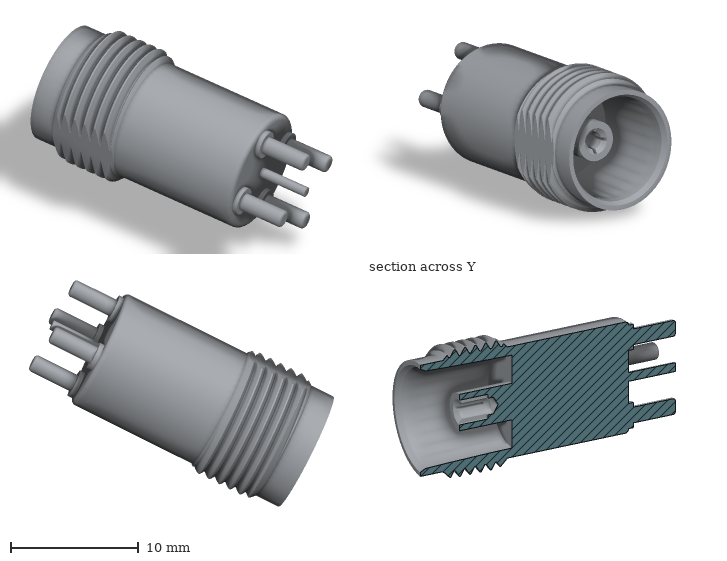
import cadquery as cq
import math


shell_radius = 4.83
shell_end = 18.27
shell_end_fillet = 0.4

thread_start = 1.98
thread_end = 7.63
thread_radius = 5.55
thread_root_radius = 4.97
inch = 25.4
threads_per_inch = 28
thread_pitch = inch / threads_per_inch
thread_half_angle = math.radians(30)
thread_root_flat = 0.12
thread_overshoot = 0.05
groove_position_below_axis = 3.01
groove_run_in_turns = 2
blank_margin = 2
flat_distance = 4.9

bore_mouth_radius = 4.45
bore_front_radius = 4.2
bore_floor_radius = 4.0
bore_chamfer_length = 0.47
bore_depth = 8.0

insulator_radius = 1.6
insulator_face = 3.4
contact_mouth_radius = 1.05
contact_hole_radius = 0.7
contact_lead_in = contact_mouth_radius - contact_hole_radius
contact_hole_depth = 3.0
contact_hole_tip = 0.4
contact_slot_width = 0.28
contact_slot_depth = 2.5

pin_offset = 3.38
pin_radius = 0.7
pin_end = 22.35
pin_end_fillet = 0.25
collar_radius = 1.11
collar_length = 0.4
collar_embed = 0.5
centre_pin_radius = 0.4


def cylinder(radius, start, end, y=0.0, z=0.0):
    """Cylinder along +X between two stations."""
    plane = cq.Workplane("YZ", origin=(start, y, z))
    return plane.circle(radius).extrude(end - start)


def revolved(points):
    """Solid of revolution about the X axis from (x, radius) points."""
    return cq.Workplane("XY").polyline(points).close().revolve(360, (0, 0, 0), (1, 0, 0))


def thread_groove():
    """Right-hand helical V groove that runs out past both ends of the thread."""
    start = groove_position_below_axis - groove_run_in_turns * thread_pitch
    length = thread_end + thread_pitch / 2 - start
    outer_radius = thread_radius + thread_overshoot
    flank_rise = outer_radius - thread_root_radius
    root_half = thread_root_flat / 2
    mouth_half = root_half + flank_rise * math.tan(thread_half_angle)
    helix = cq.Wire.makeHelix(thread_pitch, length, thread_root_radius)
    profile = (
        cq.Workplane("XZ")
        .moveTo(thread_root_radius, root_half)
        .lineTo(outer_radius, mouth_half)
        .lineTo(outer_radius, -mouth_half)
        .lineTo(thread_root_radius, -root_half)
        .close()
    )
    groove = profile.sweep(cq.Workplane(helix), isFrenet=True)
    return groove.rotate((0, 0, 0), (0, 1, 0), 90).translate((start, 0, 0))


def thread_ring():
    """Collar with 45 degree ends, helical groove and two flats facing +Y and -Y."""
    blank = cylinder(thread_radius, thread_start - blank_margin, thread_end + blank_margin)
    threaded = blank.cut(thread_groove())
    chamfer = thread_radius - shell_radius
    envelope = revolved([
        (thread_start, 0),
        (thread_start, shell_radius),
        (thread_start + chamfer, thread_radius),
        (thread_end - chamfer, thread_radius),
        (thread_end, shell_radius),
        (thread_end, 0),
    ])
    between_flats = cq.Workplane("XY").box(
        thread_end - thread_start,
        2 * flat_distance,
        2 * thread_radius,
        centered=(False, True, True),
    )
    between_flats = between_flats.translate((thread_start, 0, 0))
    return threaded.intersect(envelope).intersect(between_flats)


def shell():
    """Plain cylinder with a rounded rear edge."""
    return cylinder(shell_radius, 0, shell_end).faces(">X").edges().fillet(shell_end_fillet)


def mating_bore():
    """Slightly tapered bore with a chamfered mouth."""
    return revolved([
        (0, 0),
        (0, bore_mouth_radius),
        (bore_chamfer_length, bore_front_radius),
        (bore_depth, bore_floor_radius),
        (bore_depth, 0),
    ])


def insulator_boss():
    """Boss standing on the bore floor."""
    return cylinder(insulator_radius, insulator_face, bore_depth)


def contact_socket():
    """Contact hole with a conical lead-in, a conical bottom and four radial slots."""
    hole_end = insulator_face + contact_hole_depth
    socket = revolved([
        (insulator_face, 0),
        (insulator_face, contact_mouth_radius),
        (insulator_face + contact_lead_in, contact_hole_radius),
        (hole_end, contact_hole_radius),
        (hole_end + contact_hole_tip, 0),
    ])
    slot_limit = cylinder(contact_mouth_radius, insulator_face, insulator_face + contact_slot_depth)
    for angle in (0, 90):
        slot = cq.Workplane("XY").box(
            contact_slot_depth,
            contact_slot_width,
            2 * contact_mouth_radius,
            centered=(False, True, True),
        )
        slot = slot.translate((insulator_face, 0, 0)).rotate((0, 0, 0), (1, 0, 0), angle)
        socket = socket.union(slot.intersect(slot_limit))
    return socket


def ground_pin(y, z):
    """Round-ended pin with a stand-off collar, rooted in the rear wall."""
    root = shell_end - collar_embed
    pin = cylinder(pin_radius, root, pin_end, y, z).faces(">X").edges().fillet(pin_end_fillet)
    return pin.union(cylinder(collar_radius, root, shell_end + collar_length, y, z))


result = shell().union(thread_ring()).cut(mating_bore())
result = result.union(insulator_boss()).cut(contact_socket())

for pin_y, pin_z in ((pin_offset, 0), (-pin_offset, 0), (0, pin_offset), (0, -pin_offset)):
    result = result.union(ground_pin(pin_y, pin_z))

result = result.union(cylinder(centre_pin_radius, shell_end - collar_embed, pin_end))